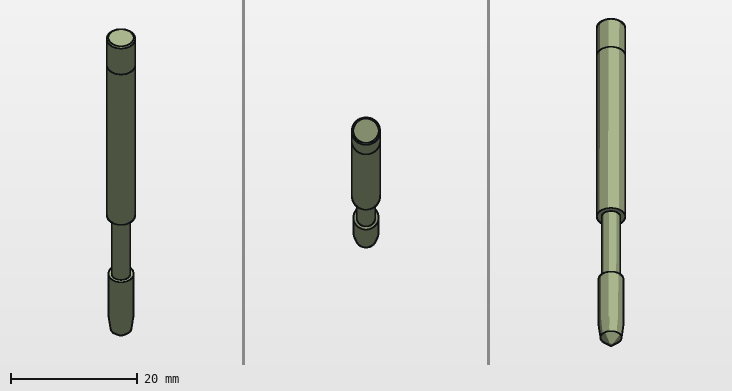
import cadquery as cq

TOTAL_LENGTH = 64.65

BARREL_RADIUS = 2.25
BARREL_AND_CAP_LENGTH = 38.45
CAP_LENGTH = 5.9
CAP_CHAMFER = 0.25

SHAFT_RADIUS = 1.5
HEAD_RADIUS = 2.0
HEAD_LENGTH = 9.05
TAPER_LENGTH = 2.7
TIP_BASE_RADIUS = 1.7
TIP_LENGTH = 1.75

taper_top = TIP_LENGTH + TAPER_LENGTH
head_top = taper_top + HEAD_LENGTH
barrel_bottom = TOTAL_LENGTH - BARREL_AND_CAP_LENGTH
cap_bottom = TOTAL_LENGTH - CAP_LENGTH


def make_probe_body():
    """Barrel, slim shaft and tapered, pointed head, revolved from one (radius, height) outline."""
    outline = [
        (0, 0),
        (TIP_BASE_RADIUS, TIP_LENGTH),
        (HEAD_RADIUS, taper_top),
        (HEAD_RADIUS, head_top),
        (SHAFT_RADIUS, head_top),
        (SHAFT_RADIUS, barrel_bottom),
        (BARREL_RADIUS, barrel_bottom),
        (BARREL_RADIUS, cap_bottom),
        (0, cap_bottom),
    ]
    return (
        cq.Workplane("XZ")
        .polyline(outline)
        .close()
        .revolve(360, (0, 0, 0), (0, 1, 0))
    )


def make_end_cap():
    """Cylinder resting on the barrel, with a chamfered top edge."""
    return (
        cq.Workplane("XY", origin=(0, 0, cap_bottom))
        .circle(BARREL_RADIUS)
        .extrude(CAP_LENGTH)
        .faces(">Z")
        .chamfer(CAP_CHAMFER)
    )


probe_body = make_probe_body()
end_cap = make_end_cap()
result = cq.Compound.makeCompound([probe_body.val(), end_cap.val()])